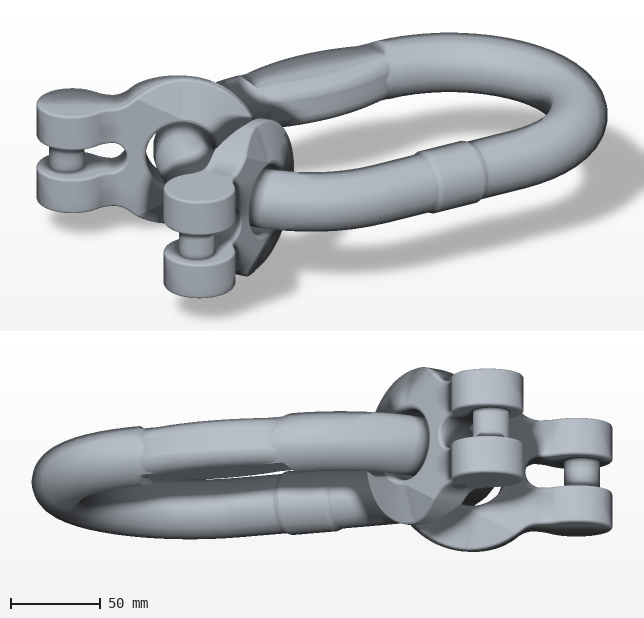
import cadquery as cq
import math

WIRE_DIA = 33.0
BEND_RADIUS = 71.5
STRAIGHT_LENGTH = 90.0
HALF_STRAIGHT = STRAIGHT_LENGTH / 2
WIRE_RADIUS = WIRE_DIA / 2

COLLAR_DIA = 35.5
COLLAR_LENGTH = 26.5
COLLAR_TAPER = 3.0

FLAT_HALF_HEIGHT = 13.0
FLAT_LENGTH = 85.0
RAMP_FOOT_RADIUS = 2.5
LOBE_HALF_WIDTH = 22.8
LOBE_MEET = 37.2
LOBE_LENGTH = 82.5
LOBE_CORNER_RADIUS = 8.8

EYE_DIA = 40.0
EYE_HALF_HEIGHT = 29.7
EYE_X = 67.8
EYE_Y = -159.5
SHACKLE_ANGLE = 30
PLATE_THICKNESS = 20.5
DISC_RADIUS = 44.0
DISC_Y = 60.5
RIM_THICKNESS = 6.2
CONE_INNER_RADIUS = 23.0
RING_HOLE_DIA = 40.0
RING_HOLE_ROUND = 2.8
NECK_BLEND_RADIUS = 15.0
WEDGE_RUN = 43.8
WEDGE_RISE = 22.0
SLOT_HEIGHT = 17.5
SLOT_END_Y = 30.0
EDGE_ROUND = 1.5
OVERCUT = 12.5
TOUCH_TOLERANCE = 0.003

EYE_RADIUS = EYE_DIA / 2
HALF_PLATE = PLATE_THICKNESS / 2
HALF_RIM = RIM_THICKNESS / 2

PIN_DIA = 20.0
PIN_OFFSET = 3.0


def ring_wire():
    """Round bar bent into an oblong closed ring."""
    path = (
        cq.Workplane("XY")
        .moveTo(-BEND_RADIUS, -HALF_STRAIGHT)
        .lineTo(-BEND_RADIUS, HALF_STRAIGHT)
        .threePointArc((0, HALF_STRAIGHT + BEND_RADIUS), (BEND_RADIUS, HALF_STRAIGHT))
        .lineTo(BEND_RADIUS, -HALF_STRAIGHT)
        .threePointArc((0, -HALF_STRAIGHT - BEND_RADIUS), (-BEND_RADIUS, -HALF_STRAIGHT))
        .close()
    )
    section = cq.Workplane("XZ", origin=(-BEND_RADIUS, -HALF_STRAIGHT, 0)).circle(WIRE_RADIUS)
    return section.sweep(path)


def collar():
    """Raised band with conical ends on the +X limb."""
    inner = COLLAR_LENGTH / 2
    outer = inner + COLLAR_TAPER
    return (
        cq.Workplane("XY")
        .polyline([
            (0, -outer),
            (WIRE_RADIUS, -outer),
            (COLLAR_DIA / 2, -inner),
            (COLLAR_DIA / 2, inner),
            (WIRE_RADIUS, outer),
            (0, outer),
        ])
        .close()
        .revolve(360, (0, 0), (0, 1))
        .translate((BEND_RADIUS, 0, 0))
    )


def lobe():
    """Bulge of the -X limb: barrel-shaped plan with rounded long edges."""
    arc_drop = LOBE_HALF_WIDTH - WIRE_RADIUS
    arc_radius = (LOBE_MEET**2 + arc_drop**2) / (2 * arc_drop)
    half_length = LOBE_LENGTH / 2
    end_half_width = LOBE_HALF_WIDTH - arc_radius + math.sqrt(arc_radius**2 - half_length**2)
    plan = (
        cq.Workplane("XY")
        .workplane(offset=-FLAT_HALF_HEIGHT)
        .moveTo(-end_half_width, -half_length)
        .threePointArc((-LOBE_HALF_WIDTH, 0), (-end_half_width, half_length))
        .lineTo(end_half_width, half_length)
        .threePointArc((LOBE_HALF_WIDTH, 0), (end_half_width, -half_length))
        .close()
    )
    solid = plan.extrude(2 * FLAT_HALF_HEIGHT)
    long_edges = solid.faces("<Z or >Z").edges("%CIRCLE")
    return long_edges.fillet(LOBE_CORNER_RADIUS).translate((-BEND_RADIUS, 0, 0))


def flat_cut():
    """Trough with 45 degree ends that leaves the upper flat on the -X limb."""
    half_foot = FLAT_LENGTH / 2
    depth = WIRE_RADIUS - FLAT_HALF_HEIGHT + OVERCUT
    trough = (
        cq.Workplane("YZ")
        .polyline([
            (-half_foot, FLAT_HALF_HEIGHT),
            (half_foot, FLAT_HALF_HEIGHT),
            (half_foot + depth, FLAT_HALF_HEIGHT + depth),
            (-half_foot - depth, FLAT_HALF_HEIGHT + depth),
        ])
        .close()
        .extrude(LOBE_HALF_WIDTH + OVERCUT, both=True)
    )
    trough = trough.faces("<Z").edges("|X").fillet(RAMP_FOOT_RADIUS)
    return trough.translate((-BEND_RADIUS, 0, 0))


def make_ring():
    upper_cut = flat_cut()
    lower_cut = upper_cut.mirror("XY")
    wire = ring_wire().cut(upper_cut).cut(lower_cut)
    return wire.union(lobe()).union(collar())


def shackle_side_block():
    """Side outline: fork height blending into the disc, spread across X."""
    blend_z = EYE_HALF_HEIGHT + NECK_BLEND_RADIUS
    centre_gap = DISC_RADIUS + NECK_BLEND_RADIUS
    blend_y = DISC_Y - math.sqrt(centre_gap**2 - blend_z**2)
    share = DISC_RADIUS / centre_gap
    tangent_y = DISC_Y + share * (blend_y - DISC_Y)
    tangent_z = share * blend_z
    start_y = -EYE_RADIUS - OVERCUT
    half_turn = math.atan2(DISC_Y - blend_y, blend_z) / 2
    mid_y = blend_y + NECK_BLEND_RADIUS * math.sin(half_turn)
    mid_z = blend_z - NECK_BLEND_RADIUS * math.cos(half_turn)
    return (
        cq.Workplane("YZ")
        .moveTo(start_y, -EYE_HALF_HEIGHT)
        .lineTo(blend_y, -EYE_HALF_HEIGHT)
        .threePointArc((mid_y, -mid_z), (tangent_y, -tangent_z))
        .threePointArc((DISC_Y + DISC_RADIUS, 0), (tangent_y, tangent_z))
        .threePointArc((mid_y, mid_z), (blend_y, EYE_HALF_HEIGHT))
        .lineTo(start_y, EYE_HALF_HEIGHT)
        .close()
        .extrude(EYE_RADIUS + OVERCUT, both=True)
    )


def shackle_plan_block():
    """Plan outline: round eye blending into the plate, spread along Z."""
    blend_x = HALF_PLATE + NECK_BLEND_RADIUS
    centre_gap = EYE_RADIUS + NECK_BLEND_RADIUS
    blend_y = math.sqrt(centre_gap**2 - blend_x**2)
    share = EYE_RADIUS / centre_gap
    tangent_x = share * blend_x
    tangent_y = share * blend_y
    half_turn = math.atan2(blend_y, blend_x) / 2
    mid_x = blend_x - NECK_BLEND_RADIUS * math.cos(half_turn)
    mid_y = blend_y - NECK_BLEND_RADIUS * math.sin(half_turn)
    end_y = DISC_Y + DISC_RADIUS + OVERCUT
    return (
        cq.Workplane("XY")
        .moveTo(tangent_x, tangent_y)
        .threePointArc((mid_x, mid_y), (HALF_PLATE, blend_y))
        .lineTo(HALF_PLATE, end_y)
        .lineTo(-HALF_PLATE, end_y)
        .lineTo(-HALF_PLATE, blend_y)
        .threePointArc((-mid_x, mid_y), (-tangent_x, tangent_y))
        .threePointArc((0, -EYE_RADIUS), (tangent_x, tangent_y))
        .close()
        .extrude(DISC_RADIUS + OVERCUT, both=True)
    )


def taper_section():
    """Triangle in the XZ plane that thins the +X face towards the rim."""
    slope = (HALF_PLATE - HALF_RIM) / (DISC_RADIUS - CONE_INNER_RADIUS)
    thin_x = HALF_RIM - slope * OVERCUT / 2
    outer_z = DISC_RADIUS + OVERCUT / 2
    return [(HALF_PLATE, CONE_INNER_RADIUS), (thin_x, outer_z), (HALF_PLATE, outer_z)]


def cone_cut():
    """Conical thinning of the +X face over the far half of the disc."""
    return (
        cq.Workplane("XZ", origin=(0, DISC_Y, 0))
        .polyline(taper_section())
        .close()
        .revolve(180, (3, 0), (0, 0))
    )


def wedge_cut():
    """Flat thinning of the +X face that runs out from the disc towards the neck."""
    corners = [cq.Vector(x, DISC_Y, z) for x, z in taper_section()]
    outline = cq.Wire.makePolygon(corners, close=True)
    sweep = cq.Vector(0, -WEDGE_RUN, WEDGE_RISE)
    return cq.Workplane(cq.Solid.extrudeLinear(outline, [], sweep))


def fork_slot():
    """Round-ended slot that splits the eye into two lugs."""
    start_y = -EYE_RADIUS - OVERCUT
    end_y = SLOT_END_Y - SLOT_HEIGHT / 2
    half = SLOT_HEIGHT / 2
    return (
        cq.Workplane("YZ")
        .moveTo(start_y, -half)
        .lineTo(end_y, -half)
        .threePointArc((SLOT_END_Y, 0), (end_y, half))
        .lineTo(start_y, half)
        .close()
        .extrude(EYE_RADIUS + OVERCUT, both=True)
    )


def ring_hole():
    """Hole through the disc for the ring."""
    return (
        cq.Workplane("YZ")
        .center(DISC_Y, 0)
        .circle(RING_HOLE_DIA / 2)
        .extrude(EYE_RADIUS, both=True)
    )


def round_rims(body, block, radius):
    """Round the edges of body that lie on the skin of block, except those parallel to X."""
    skin = block.val().Shells()[0]
    rims = []
    for edge in body.edges("not |X").vals():
        middle = cq.Vertex.makeVertex(*edge.positionAt(0.5).toTuple())
        if skin.distance(middle) < TOUCH_TOLERANCE:
            rims.append(edge)
    return body.newObject(rims).fillet(radius)


def make_shackle():
    """Fork and disc in the local frame, with rounded edges."""
    outline = shackle_side_block()
    body = outline.intersect(shackle_plan_block())
    cone = cone_cut()
    wedge = wedge_cut()
    body = body.cut(cone).cut(cone.mirror("YZ"))
    for upper in (wedge, wedge.mirror("YZ")):
        body = body.cut(upper).cut(upper.mirror("XY"))
    body = round_rims(body, outline, EDGE_ROUND)
    slot = fork_slot()
    body = round_rims(body.cut(slot), slot, EDGE_ROUND)
    hole = ring_hole()
    return round_rims(body.cut(hole), hole, RING_HOLE_ROUND)


def make_pin():
    """Plain pin filling both lug bores, flush with the lug faces."""
    return (
        cq.Workplane("XY", origin=(0, -PIN_OFFSET, -EYE_HALF_HEIGHT))
        .circle(PIN_DIA / 2)
        .extrude(2 * EYE_HALF_HEIGHT)
    )


def place(body, side):
    """Move a local shackle part to the left (-1) or right (+1) side of the ring."""
    turned = body.rotate((0, 0, 0), (0, 0, 1), side * SHACKLE_ANGLE)
    return turned.translate((side * EYE_X, EYE_Y, 0))


ring = make_ring()
pin = make_pin()
shackle = make_shackle().cut(pin)
bodies = [ring.solids().val()]
for side in (-1, 1):
    bodies.append(place(shackle, side).solids().val())
    bodies.append(place(pin, side).solids().val())

result = cq.Compound.makeCompound(bodies)